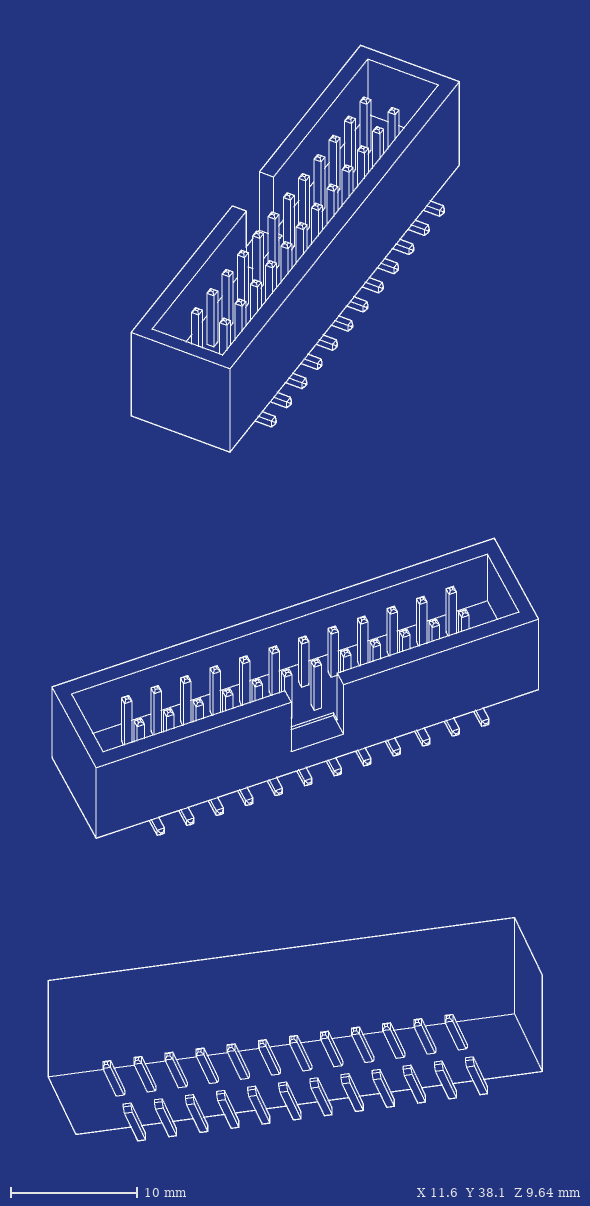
import cadquery as cq


pitch = 2.54
pins_per_row = 12
pin_size = 0.64
tip_drop = 0.25
tip_chamfer = 0.2
foot_span = 11.6
heel_chamfer = 0.37

body_length = 38.1
body_width = 8.9
body_height = 9.0
cavity_length = 35.8
cavity_width = 6.35
cavity_depth = 5.95

key_width = 4.5
key_reach = 2.05
key_depth = 6.3

body_bottom = pin_size
body_top = body_bottom + body_height
pin_tip = body_top - tip_drop
overlap = 1.0


def cutter(width, length, depth, center_x):
    """Block that removes the given depth below the top rim."""
    return (
        cq.Workplane("XY")
        .box(width, length, depth + overlap, centered=(True, True, False))
        .translate((center_x, 0, body_top - depth))
    )


def make_shroud():
    block = (
        cq.Workplane("XY")
        .box(body_width, body_length, body_height, centered=(True, True, False))
        .translate((0, 0, body_bottom))
    )
    cavity = cutter(cavity_width, cavity_length, cavity_depth, 0)
    key_center_x = (key_reach - body_width) / 2
    key_notch = cutter(key_reach, key_width, key_depth, key_center_x)
    return block.cut(cavity).cut(key_notch)


def make_pin():
    """L-shaped pin at Y = 0 in the +X row, with its foot pointing to +X."""
    inner_x = (pitch - pin_size) / 2
    post = (
        cq.Workplane("XY")
        .box(pin_size, pin_size, pin_tip, centered=(False, True, False))
        .translate((inner_x, 0, 0))
        .faces(">Z")
        .chamfer(tip_chamfer)
    )
    foot = (
        cq.Workplane("XY")
        .box(foot_span / 2 - inner_x, pin_size, pin_size, centered=(False, True, False))
        .translate((inner_x, 0, 0))
        .faces(">X")
        .chamfer(tip_chamfer)
    )
    return post.union(foot).edges("<X and <Z").chamfer(heel_chamfer)


def add_pins(shroud):
    right_pin = make_pin()
    left_pin = right_pin.mirror("YZ")
    first_y = -(pins_per_row - 1) * pitch / 2
    part = shroud
    for index in range(pins_per_row):
        offset = (0, first_y + index * pitch, 0)
        part = part.union(right_pin.translate(offset))
        part = part.union(left_pin.translate(offset))
    return part


result = add_pins(make_shroud())